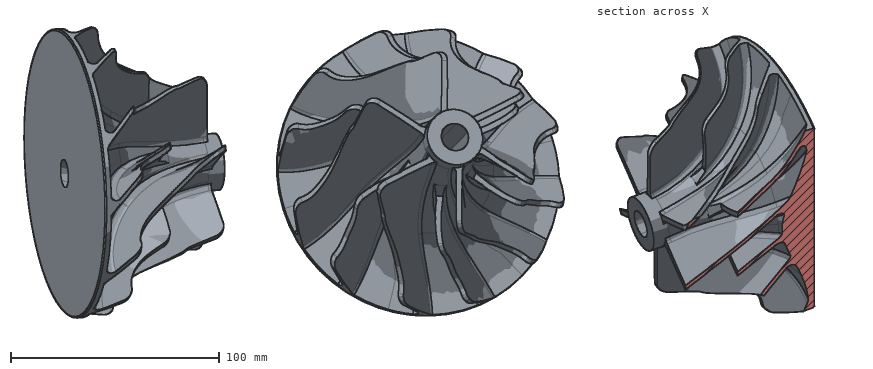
import cadquery as cq
import math

RIM_RADIUS = 69.6
WHEEL_HEIGHT = 76.2
BORE_RADIUS = 6.7
NOSE_RADIUS = 13.7
HUB_TOP = 68.1
DISC_THICKNESS = 3.1
BACK_CHAMFER = 0.7

LOWER_ARC_RADIUS = 50.0
LOWER_ARC_CENTRE = (RIM_RADIUS, DISC_THICKNESS + LOWER_ARC_RADIUS)
FLANK_WIDTH = RIM_RADIUS - NOSE_RADIUS
ARC_DROP = HUB_TOP - LOWER_ARC_CENTRE[1]
TANGENCY_SUM = FLANK_WIDTH**2 + ARC_DROP**2 - LOWER_ARC_RADIUS**2
UPPER_ARC_RADIUS = TANGENCY_SUM / (2 * (FLANK_WIDTH - LOWER_ARC_RADIUS))
UPPER_ARC_CENTRE = (NOSE_RADIUS + UPPER_ARC_RADIUS, HUB_TOP)
JUNCTION_ANGLE = math.degrees(math.atan2(ARC_DROP, UPPER_ARC_CENTRE[0] - LOWER_ARC_CENTRE[0]))

INLET_HEIGHT = 69.9
SPLITTER_HEIGHT = 41.6
INLET_TIP_RADIUS = 44.7
INDUCER_END = 62.0
TIP_CURVE = [(55.3, 24.5), (48.5, 38.5), (45.9, 51.0)]
OUTLET_TIP_HEIGHT = 20.2
TIP_CORNER_RADIUS = 4.0
INLET_CORNER_RADIUS = 5.0

RAMP_RADIUS = 20.5
RAMP_TOP_RADIUS = 14.5
RAMP_TOP = 51.0

BLADE_PAIRS = 6
PRESSURE_FILLET = 2.8
SUCTION_FILLET = 4.0
HUB_BLADE_WIDTH = 3.2
TIP_BLADE_WIDTH = 2.6

HUB_ARC_STEP = 22.5
TIP_STATIONS = [
    (INLET_TIP_RADIUS, INLET_HEIGHT),
    (45.7, 51.0),
    (49.8, 34.6),
    (55.5, 24.2),
    (RIM_RADIUS, OUTLET_TIP_HEIGHT),
]
MAIN_HUB_ANGLES = [-42.0, -23.5, -7.5, 1.5, 4.0]
MAIN_TIP_ANGLES = [-55.0, -39.5, -24.2, -15.5, -11.2]
SPLITTER_HUB_ANGLES = [-13.5, 5.0, 20.5, 28.7, 31.0]
SPLITTER_TIP_ANGLES = [-20.0, -5.5, 7.5, 13.0, 16.5]

ROOT_OVERLAP = 0.10
TIP_OVERLAP = 0.15
END_OVERRUN = 4.0
INLET_OVERRUN_TURN = 3.0
TRIM_ALLOWANCE = 1.5
FILLET_SINK = 0.2
MAIN_FOOT_SINK = 0.1
SPLITTER_FOOT_SINK = 0.12

PITCH = 360 / BLADE_PAIRS
SECTOR_STARTS = [-22.0, -22.0, -22.0, -16.5, -16.5, -16.5, -16.5, -16.5]
SECTOR_APEX = cq.Vector(0, -0.5, 0)
SECTOR_TOP = (1.0, 1.1 * WHEEL_HEIGHT)
SECTOR_BOTTOM = (RIM_RADIUS, SECTOR_APEX.y)
SECTOR_INNER_SCALE = 0.02
SECTOR_OUTER_SCALE = 1.3
SEW_TOLERANCE = 0.001


def hub_point(arc_angle, sink=0.0):
    """Radius and height on the hub flank: 0 degrees at the nose, 90 at the rim; sink offsets it inward."""
    if arc_angle < JUNCTION_ANGLE:
        centre, arc_radius = UPPER_ARC_CENTRE, UPPER_ARC_RADIUS + sink
    else:
        centre, arc_radius = LOWER_ARC_CENTRE, LOWER_ARC_RADIUS + sink
    t = math.radians(arc_angle)
    return centre[0] - arc_radius * math.cos(t), centre[1] - arc_radius * math.sin(t)


def wheel_point(radius, height, angle, shift):
    """Point at an angle about the wheel axis, shifted sideways along the circumference."""
    a = math.radians(angle) + shift / radius
    return cq.Vector(radius * math.sin(a), height, radius * math.cos(a))


def wheel_angle(face):
    """Angle of a face's centre about the wheel axis, from +Z towards +X."""
    centre = face.Center()
    return math.atan2(centre.x, centre.z)


def revolve_profile(profile):
    return profile.close().revolve(360, (0, 0, 0), (0, 1, 0))


def add_flank(profile, sink=0.0):
    """Draw the hub flank, level where it leaves the rim and axial where it meets the nose."""
    low_middle = (90 + JUNCTION_ANGLE) / 2
    high_middle = JUNCTION_ANGLE / 2
    arc_angles = (90, low_middle, JUNCTION_ANGLE, high_middle, 0)
    rim, low, junction, high, nose = [hub_point(angle, sink) for angle in arc_angles]
    return profile.lineTo(*rim).threePointArc(low, junction).threePointArc(high, nose)


def make_hub():
    profile = (
        cq.Workplane("XY")
        .moveTo(BORE_RADIUS, 0)
        .lineTo(RIM_RADIUS - BACK_CHAMFER, 0)
        .lineTo(RIM_RADIUS, BACK_CHAMFER)
    )
    profile = add_flank(profile).lineTo(NOSE_RADIUS, WHEEL_HEIGHT).lineTo(BORE_RADIUS, WHEEL_HEIGHT)
    return revolve_profile(profile)


def make_fillet_base(sink):
    """Oversized hub for rolling the root fillets; its sunk flank beds them into the real hub."""
    outer = RIM_RADIUS + TRIM_ALLOWANCE
    top = INLET_HEIGHT + TRIM_ALLOWANCE
    profile = cq.Workplane("XY").lineTo(outer, 0).lineTo(outer, DISC_THICKNESS - sink)
    profile = add_flank(profile, sink).lineTo(NOSE_RADIUS - sink, top).lineTo(0, top)
    return revolve_profile(profile)


def make_envelope(height):
    """Solid of revolution bounding the blade tips, cut off flat at a height with a rounded corner."""
    tip_curve = TIP_CURVE + [(INLET_TIP_RADIUS, INDUCER_END)]
    profile = (
        cq.Workplane("XY")
        .moveTo(0, BACK_CHAMFER)
        .lineTo(RIM_RADIUS, BACK_CHAMFER)
        .lineTo(RIM_RADIUS, OUTLET_TIP_HEIGHT - TIP_CORNER_RADIUS)
        .radiusArc((RIM_RADIUS - TIP_CORNER_RADIUS, OUTLET_TIP_HEIGHT), -TIP_CORNER_RADIUS)
        .spline(tip_curve, tangents=[(-1, 0), (0, 1)], includeCurrent=True)
        .lineTo(INLET_TIP_RADIUS, WHEEL_HEIGHT)
        .lineTo(0, WHEEL_HEIGHT)
    )
    block = cq.Workplane("XZ").circle(2 * RIM_RADIUS).extrude(-height)
    return revolve_profile(profile).intersect(block).faces(">Y").edges().fillet(INLET_CORNER_RADIUS)


def make_splitter_envelope():
    """Tip envelope of the splitters, with a cone that leaves a ramp up to each splitter root."""
    cone = (
        cq.Workplane("XY")
        .moveTo(0, BACK_CHAMFER)
        .lineTo(RAMP_RADIUS, BACK_CHAMFER)
        .lineTo(RAMP_RADIUS, SPLITTER_HEIGHT)
        .lineTo(RAMP_TOP_RADIUS, RAMP_TOP)
        .lineTo(0, RAMP_TOP)
    )
    return make_envelope(SPLITTER_HEIGHT).union(revolve_profile(cone))


def blade_stations(hub_angles, tip_angles):
    """Hub and tip stations as (radius, height, angle), with one extra station past each end."""
    hub = [hub_point(HUB_ARC_STEP * i) + (a,) for i, a in enumerate(hub_angles)]
    tip = [place + (a,) for place, a in zip(TIP_STATIONS, tip_angles)]
    for row in (hub, tip):
        radius, height, angle = row[0]
        row.insert(0, (radius, height + END_OVERRUN, angle - INLET_OVERRUN_TURN))
        radius, height, angle = row[-1]
        row.append((radius + END_OVERRUN, height, angle))
    return hub, tip


def make_ruled_solid(roots, crowns):
    """Six-sided solid ruled between a pair of inner curves and a pair of outer curves."""
    outlines = [(roots[0], crowns[0]), (roots[1], crowns[1]), roots, crowns]
    for end in (0, 1):
        left, right = [
            cq.Edge.makeLine(root.positionAt(end), crown.positionAt(end))
            for root, crown in zip(roots, crowns)
        ]
        outlines.append((left, right))
    faces = [cq.Face.makeRuledSurface(first, second) for first, second in outlines]
    return cq.Solid.makeSolid(cq.Shell.makeShell(faces)).fix()


def make_raw_blade(hub_angles, tip_angles):
    """Untrimmed blade: two ruled flanks between splines at root and crown, closed all round."""
    hub, tip = blade_stations(hub_angles, tip_angles)
    roots = []
    crowns = []
    for side in (-0.5, 0.5):
        root_points = []
        crown_points = []
        for hub_place, tip_place in zip(hub, tip):
            low = wheel_point(*hub_place, side * HUB_BLADE_WIDTH)
            high = wheel_point(*tip_place, side * TIP_BLADE_WIDTH)
            root_points.append(low - (high - low) * ROOT_OVERLAP)
            crown_points.append(high + (high - low) * TIP_OVERLAP)
        roots.append(cq.Edge.makeSpline(root_points))
        crowns.append(cq.Edge.makeSpline(crown_points))
    return cq.Workplane(obj=make_ruled_solid(roots, crowns))


def make_blade(hub_angles, tip_angles, envelope, foot_sink):
    """One blade with its root fillets, trimmed to its tip envelope."""
    base = make_fillet_base(FILLET_SINK)
    block = cq.Workplane("XZ").circle(RIM_RADIUS + TRIM_ALLOWANCE).extrude(-INLET_HEIGHT - TRIM_ALLOWANCE)
    raw_blade = make_raw_blade(hub_angles, tip_angles)
    joined = base.union(raw_blade.intersect(block))
    flanks = sorted(joined.faces("%BSPLINE").vals(), key=lambda face: face.Area())[-2:]
    pressure, suction = sorted(flanks, key=wheel_angle)
    hub_edges = joined.faces("%TORUS").edges("%BSPLINE").vals()
    filleted = joined
    for flank, radius in ((pressure, PRESSURE_FILLET), (suction, SUCTION_FILLET)):
        root_edges = [edge for edge in flank.Edges() if any(edge.isSame(other) for other in hub_edges)]
        filleted = filleted.newObject(root_edges).fillet(radius)
    return filleted.intersect(envelope.cut(make_fillet_base(foot_sink)))


def make_sector_wedge():
    """Twisted wedge one blade pitch wide; its sides run between blades towards a point on the axis."""
    places = [SECTOR_TOP, (NOSE_RADIUS, WHEEL_HEIGHT)]
    places += [hub_point(HUB_ARC_STEP * i) for i in range(len(MAIN_HUB_ANGLES))]
    places.append(SECTOR_BOTTOM)
    first, last = MAIN_HUB_ANGLES[0], MAIN_HUB_ANGLES[-1]
    angles = [first, first] + MAIN_HUB_ANGLES + [last]
    inner = []
    outer = []
    for turn in (0, PITCH):
        rays = [
            wheel_point(*place, angle + start + turn, 0) - SECTOR_APEX
            for place, angle, start in zip(places, angles, SECTOR_STARTS)
        ]
        inner.append(cq.Edge.makeSpline([SECTOR_APEX + ray * SECTOR_INNER_SCALE for ray in rays]))
        outer.append(cq.Edge.makeSpline([SECTOR_APEX + ray * SECTOR_OUTER_SCALE for ray in rays]))
    return cq.Workplane(obj=make_ruled_solid(inner, outer))


def is_sector_side(face):
    """The sides of a sector are the only free-form faces that reach the bore."""
    reach = min(math.hypot(v.X, v.Z) for v in face.Vertices())
    return face.geomType() == "BSPLINE" and reach < BORE_RADIUS + SEW_TOLERANCE


def make_wheel():
    """Build one sector, then turn its outer skin about the axis and sew the copies into a solid."""
    main = make_blade(MAIN_HUB_ANGLES, MAIN_TIP_ANGLES, make_envelope(INLET_HEIGHT), MAIN_FOOT_SINK)
    splitter = make_blade(
        SPLITTER_HUB_ANGLES, SPLITTER_TIP_ANGLES, make_splitter_envelope(), SPLITTER_FOOT_SINK
    )
    sector = make_hub().intersect(make_sector_wedge()).union(main).union(splitter)
    skin = [face for face in sector.faces().vals() if not is_sector_side(face)]
    faces = [
        face.rotate(cq.Vector(0, 0, 0), cq.Vector(0, 1, 0), i * PITCH)
        for i in range(BLADE_PAIRS)
        for face in skin
    ]
    wheel = cq.Solid.makeSolid(cq.occ_impl.shapes.shell(*faces, tol=SEW_TOLERANCE))
    return cq.Workplane(obj=wheel).clean()


result = make_wheel()